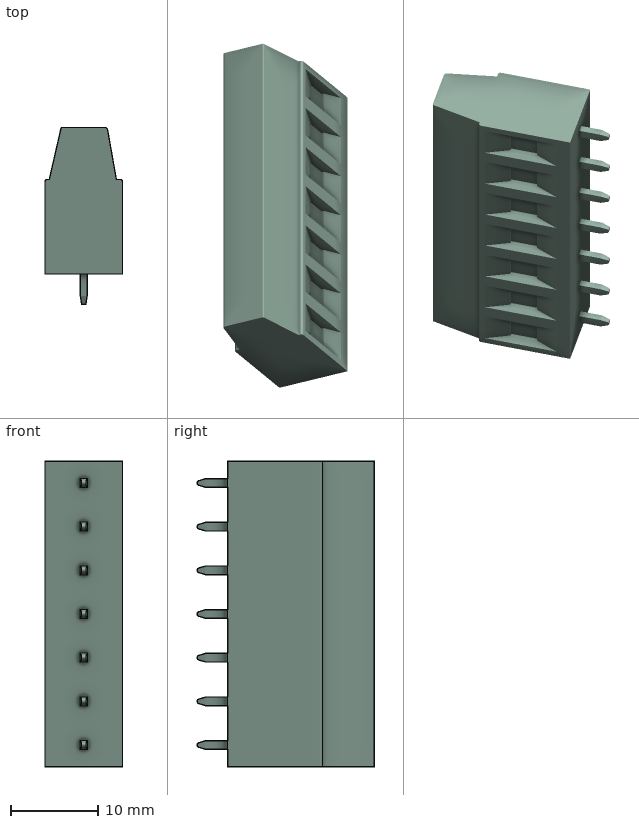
import cadquery as cq
height = 35.0
pole_count = 7
pitch = height / pole_count
width = 8.9
total_depth = 20.3
pin_length = 3.5
body_depth = total_depth - pin_length

shoulder_y = 10.85
left_shoulder = 0.5
right_shoulder = 0.7
left_nose_inset = 1.85
right_nose_inset = 1.75
shoulder_radius = 0.28
left_nose_radius = 0.15
right_nose_radius = 0.35

pocket_front_y = 1.6
pocket_length = 8.47
pocket_height = 3.5
funnel_depth = 0.85
recess_depth = 0.28
floor_front_y = 4.15
floor_length = 3.1
floor_height = 2.8

pin_width = 0.8
pin_height = 1.0
pin_tip_length = 0.98
pin_tip_width = 0.5
pin_tip_height = 0.6
pin_cap_length = 0.28

pole_heights = [(pole + 0.5) * pitch for pole in range(pole_count)]


def make_body():
    """Extrude the base and nose outline, then round its outer corners."""
    right = width / 2
    left = -right
    outline = [
        (left, 0),
        (right, 0),
        (right, shoulder_y),
        (right - right_shoulder, shoulder_y),
        (right - right_nose_inset, body_depth),
        (left + left_nose_inset, body_depth),
        (left + left_shoulder, shoulder_y),
        (left, shoulder_y),
    ]
    body = cq.Workplane("XY").polyline(outline).close().extrude(height)
    for x, y, radius in [
        (left, shoulder_y, shoulder_radius),
        (right, shoulder_y, shoulder_radius),
        (left + left_nose_inset, body_depth, left_nose_radius),
        (right - right_nose_inset, body_depth, right_nose_radius),
    ]:
        corner = cq.selectors.NearestToPointSelector((x, y, height / 2))
        body = body.edges("|Z").edges(corner).fillet(radius)
    return body


def make_pocket(z):
    """Funnel whose four walls slope from the mouth to a smaller, straight-sided recess."""
    mouth_y = pocket_front_y + pocket_length / 2
    floor_y = floor_front_y + floor_length / 2
    funnel = (
        cq.Workplane("YZ", origin=(-width / 2, mouth_y, z))
        .rect(pocket_length, pocket_height)
        .workplane(offset=funnel_depth)
        .center(floor_y - mouth_y, 0)
        .rect(floor_length, floor_height)
        .loft(ruled=True)
    )
    recess = (
        cq.Workplane("YZ", origin=(-width / 2 + funnel_depth, floor_y, z))
        .rect(floor_length, floor_height)
        .extrude(recess_depth)
    )
    return funnel.union(recess)


def make_pin(z):
    """Rectangular pin running along -Y, tapered in plan and side profile, with a rounded end."""
    shank_end = -(pin_length - pin_tip_length)
    cap_start = -(pin_length - pin_cap_length)
    side_profile = (
        cq.Workplane("YZ", origin=(0, 0, z))
        .moveTo(0, pin_height / 2)
        .lineTo(shank_end, pin_height / 2)
        .lineTo(cap_start, pin_tip_height / 2)
        .threePointArc((-pin_length, 0), (cap_start, -pin_tip_height / 2))
        .lineTo(shank_end, -pin_height / 2)
        .lineTo(0, -pin_height / 2)
        .close()
        .extrude(pin_width / 2, both=True)
    )
    plan = [
        (-pin_width / 2, 0),
        (-pin_width / 2, shank_end),
        (-pin_tip_width / 2, -pin_length),
        (pin_tip_width / 2, -pin_length),
        (pin_width / 2, shank_end),
        (pin_width / 2, 0),
    ]
    plan_profile = (
        cq.Workplane("XY", origin=(0, 0, z))
        .polyline(plan)
        .close()
        .extrude(pin_height / 2, both=True)
    )
    return side_profile.intersect(plan_profile)


result = make_body()
for pole_z in pole_heights:
    result = result.cut(make_pocket(pole_z)).union(make_pin(pole_z))